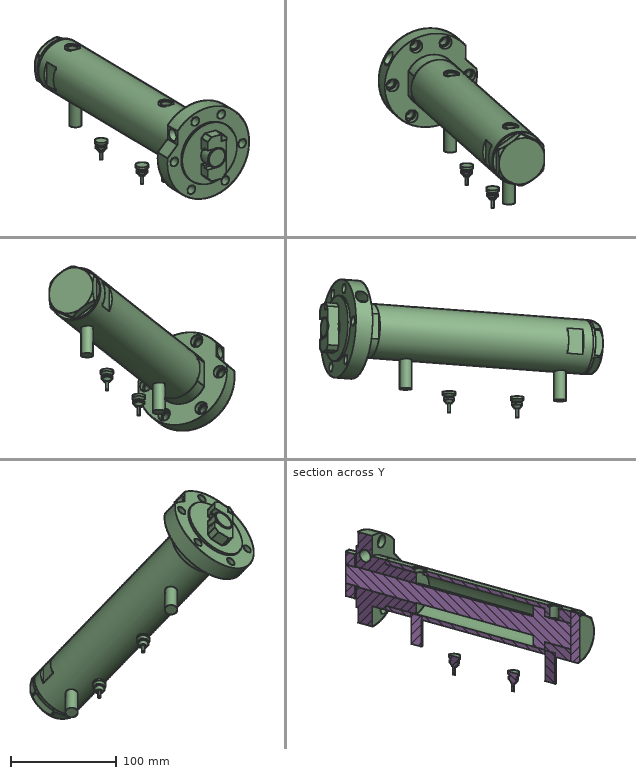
import cadquery as cq
import math


BODY_R = 26.0
ACROSS_FLATS = 46.0
CAP_HEX_END = 8.5
TUBE_START = 11.0
TUBE_END = 228.5
DISC_START = 244.1
DISC_END = 261.0
PILOT_END = 263.2
CAP_CHAMFER = 2.8

TUBE_FLAT_START = 20.7
TUBE_FLAT_END = 36.2

BORE_R = 21.0
ROD_R = 10.0
ROD_TAIL_R = 13.0
PISTON_START = 41.5
PISTON_END = 55.3
GUIDE_START = 192.5
ROD_CHAMFER = 0.8

PORT_XS = (30.1, 189.0)
PORT_R = 5.0
SPOTFACE_R = 15.0 / 2
SPOTFACE_Z = 24.5

PIN_XS = (35.0, 192.5)
PIN_R = 12.0 / 2
PIN_TOP_Z = -22.0
PIN_BOTTOM_Z = -53.6

DISC_R = 47.0
PILOT_R = 62.8 / 2
BOLT_CIRCLE_R = 39.0
BOLT_ANGLES = (0, 67.5, 112.5, 180, 240, 300)
BOLT_R = 4.5
COUNTERBORE_R = 6.0
COUNTERBORE_DEPTH = 6.5
NOTCH_Y = -35.5
NOTCH_Z = 17.0
CROSS_HOLE_R = 6.0
CROSS_HOLE_Z = 24.0
CROSS_HOLE_FLOOR_Y = 42.9

BLOCK_START = 264.5
BLOCK_END = 275.7
BLOCK_WIDTH = 21.0
BLOCK_HEIGHT = 46.0
BLOCK_CHAMFER = 4.1
SLOT_WIDTH = 16.0
SLOT_STEP_X = 269.3
TAB_END = 276.5
TAB_WIDTH = 5.8
TAB_HEIGHT = 6.5

PLUG_XS = (78.8, 148.2)
HEAD_R = 12.5 / 2
HEAD_TOP_Z = PIN_BOTTOM_Z
HEAD_BOTTOM_Z = -56.0
PLUG_NECK_R = 8.0 / 2
PLUG_NECK_TOP_Z = -58.3
PLUG_HEX_R = 5.5
PLUG_HEX_TOP_Z = -59.5
PLUG_HEX_BOTTOM_Z = -61.7
TAPER_END_R = 2.5
TAPER_END_Z = -64.7
STEM_R = 1.5
STEM_END_Z = -73.3


def x_cylinder(radius, start, end):
    """Cylinder on the X axis between two X positions."""
    return cq.Workplane("YZ").workplane(offset=start).circle(radius).extrude(end - start)


def z_cylinder(radius, x, bottom, top):
    """Vertical cylinder at a given X position."""
    return cq.Workplane("XY").workplane(offset=bottom).center(x, 0).circle(radius).extrude(top - bottom)


def box(x_range, y_range, z_range):
    """Box given by its limits along each axis."""
    lows, highs = zip(x_range, y_range, z_range)
    sizes = [high - low for low, high in zip(lows, highs)]
    return cq.Workplane("XY").box(*sizes, centered=False).translate(lows)


def flats_cutter(start, end):
    """Two slabs that leave the wrench width between them on a round body."""
    half = ACROSS_FLATS / 2
    near = box((start, end), (-BODY_R, -half), (-BODY_R, BODY_R))
    far = box((start, end), (half, BODY_R), (-BODY_R, BODY_R))
    return near.union(far)


def make_cap():
    """Hexagonal end cap with truncated corners, a chamfered end and a round collar."""
    across_corners = ACROSS_FLATS / math.cos(math.radians(30))
    hexagon = (
        cq.Workplane("YZ")
        .polygon(6, across_corners)
        .extrude(CAP_HEX_END)
        .rotate((0, 0, 0), (1, 0, 0), 90)
    )
    envelope = x_cylinder(BODY_R, 0, CAP_HEX_END).faces("<X").chamfer(CAP_CHAMFER)
    collar = x_cylinder(BODY_R, CAP_HEX_END, TUBE_START)
    return hexagon.intersect(envelope).union(collar)


def make_tube():
    """Tube with a stepped bore, wrench flats, two spotfaced ports and two pin sockets."""
    tube = x_cylinder(BODY_R, TUBE_START, TUBE_END)
    tube = tube.cut(x_cylinder(ROD_TAIL_R, TUBE_START, PISTON_START))
    tube = tube.cut(x_cylinder(BORE_R, PISTON_START, TUBE_END))
    tube = tube.cut(flats_cutter(TUBE_FLAT_START, TUBE_FLAT_END))
    for x in PORT_XS:
        tube = tube.cut(z_cylinder(SPOTFACE_R, x, SPOTFACE_Z, BODY_R))
        tube = tube.cut(z_cylinder(PORT_R, x, 0, BODY_R))
    for x in PIN_XS:
        tube = tube.cut(z_cylinder(PIN_R, x, -BODY_R, PIN_TOP_Z))
    return tube


def make_pin(x):
    """Round pin seated in the underside of the tube."""
    return z_cylinder(PIN_R, x, PIN_BOTTOM_Z, PIN_TOP_Z)


def notch_cutter():
    """Prism that removes the edge of the disc: a vertical side and a 45 degree side."""
    reach = DISC_R
    return (
        cq.Workplane("YZ")
        .workplane(offset=DISC_START)
        .moveTo(NOTCH_Y, DISC_R)
        .lineTo(NOTCH_Y, NOTCH_Z)
        .lineTo(NOTCH_Y - reach, NOTCH_Z - reach)
        .lineTo(NOTCH_Y - reach, DISC_R)
        .close()
        .extrude(DISC_END - DISC_START)
    )


def make_flange():
    """Flange with a rod guide, a neck with flats, a drilled and notched disc and a pilot."""
    neck = x_cylinder(BODY_R, TUBE_END, DISC_START).cut(flats_cutter(TUBE_END, DISC_START))
    disc = x_cylinder(DISC_R, DISC_START, DISC_END).cut(notch_cutter())
    for angle in BOLT_ANGLES:
        y = BOLT_CIRCLE_R * math.cos(math.radians(angle))
        z = BOLT_CIRCLE_R * math.sin(math.radians(angle))
        bolt_hole = x_cylinder(BOLT_R, DISC_START, DISC_END)
        counterbore = x_cylinder(COUNTERBORE_R, DISC_START, DISC_START + COUNTERBORE_DEPTH)
        disc = disc.cut(bolt_hole.union(counterbore).translate((0, y, z)))

    cross_hole = (
        cq.Workplane("XZ", origin=(0, CROSS_HOLE_FLOOR_Y, 0))
        .center((DISC_START + DISC_END) / 2, CROSS_HOLE_Z)
        .circle(CROSS_HOLE_R)
        .extrude(CROSS_HOLE_FLOOR_Y - NOTCH_Y)
    )
    disc = disc.cut(cross_hole)

    guide = x_cylinder(BORE_R, GUIDE_START, TUBE_END)
    pilot = x_cylinder(PILOT_R, DISC_END, PILOT_END)
    flange = guide.union(neck).union(disc).union(pilot)
    return flange.cut(x_cylinder(ROD_R, GUIDE_START, PILOT_END))


def make_rod():
    """Rod with a piston that fills the bore and a tail that reaches the cap."""
    tail = x_cylinder(ROD_TAIL_R, TUBE_START, PISTON_START)
    piston = x_cylinder(BORE_R, PISTON_START, PISTON_END)
    rod = x_cylinder(ROD_R, PISTON_END, BLOCK_END).faces(">X").chamfer(ROD_CHAMFER)
    return tail.union(piston).union(rod)


def make_block():
    """Chamfered block round the rod end, open to -Y through a stepped slot."""
    def profile(start, end):
        return (
            cq.Workplane("YZ")
            .workplane(offset=start)
            .rect(BLOCK_WIDTH, BLOCK_HEIGHT)
            .extrude(end - start)
            .edges("|X")
            .chamfer(BLOCK_CHAMFER)
        )

    half_width = BLOCK_WIDTH / 2
    half_height = BLOCK_HEIGHT / 2
    tab = profile(BLOCK_END, TAB_END).intersect(
        box(
            (BLOCK_END, TAB_END),
            (half_width - TAB_WIDTH, half_width),
            (half_height - TAB_HEIGHT, half_height),
        )
    )
    block = profile(BLOCK_START, BLOCK_END).union(tab)

    bore = x_cylinder(ROD_R, BLOCK_START, BLOCK_END)
    open_side = (-half_width, 0)
    narrow_slot = box((BLOCK_START, SLOT_STEP_X), open_side, (-SLOT_WIDTH / 2, SLOT_WIDTH / 2))
    wide_slot = box((SLOT_STEP_X, BLOCK_END), open_side, (-ROD_R, ROD_R))
    return block.cut(bore).cut(narrow_slot).cut(wide_slot)


def make_plug(x):
    """Plug with a round head, a waist, a hexagon and a tapered end with a thin stem."""
    hex_apothem = PLUG_HEX_R * math.cos(math.radians(30))
    turned = (
        cq.Workplane("XZ")
        .moveTo(0, HEAD_TOP_Z)
        .lineTo(HEAD_R, HEAD_TOP_Z)
        .lineTo(HEAD_R, HEAD_BOTTOM_Z)
        .lineTo(PLUG_NECK_R, PLUG_NECK_TOP_Z)
        .lineTo(PLUG_NECK_R, PLUG_HEX_BOTTOM_Z)
        .lineTo(hex_apothem, PLUG_HEX_BOTTOM_Z)
        .lineTo(TAPER_END_R, TAPER_END_Z)
        .lineTo(STEM_R, TAPER_END_Z)
        .lineTo(STEM_R, STEM_END_Z)
        .lineTo(0, STEM_END_Z)
        .close()
        .revolve(360, (0, 0), (0, 1))
    )
    hexagon = (
        cq.Workplane("XY")
        .workplane(offset=PLUG_HEX_BOTTOM_Z)
        .polygon(6, 2 * PLUG_HEX_R)
        .extrude(PLUG_HEX_TOP_Z - PLUG_HEX_BOTTOM_Z)
    )
    return turned.union(hexagon).translate((x, 0, 0))


cap = make_cap()
tube = make_tube()
flange = make_flange()
rod = make_rod()
block = make_block()
pins = [make_pin(x) for x in PIN_XS]
plugs = [make_plug(x) for x in PLUG_XS]

bodies = [cap, tube, flange, rod, block, *pins, *plugs]
result = cq.Compound.makeCompound([body.val() for body in bodies])